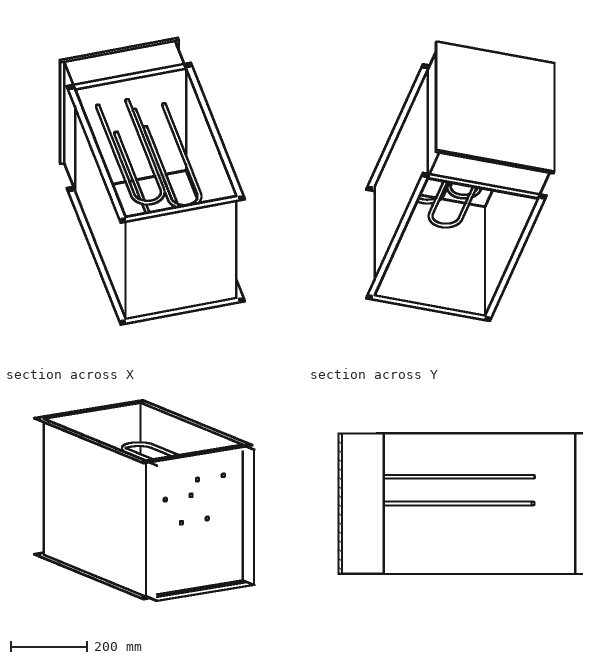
import cadquery as cq

duct_length = 500.0
duct_width = 300.0
total_height = 370.0
sheet = 1.0
flange_width = 19.0
flange_hole_diameter = 9.0
flange_hole_offset = 10.0

cover_face_distance = 120.0
cover_thickness = 10.0
cover_width = 322.0

rod_diameter = 10.0
bend_radius = 40.0
straight_length = 350.0
outer_element_y = 50.0
front_element_z = 110.0
middle_element_z = 0.0
rear_element_z = 70.0

half_length = duct_length / 2
half_width = duct_width / 2
body_height = total_height - 2 * sheet
flange_base_z = (-total_height / 2, total_height / 2 - sheet)
cover_face_x = -half_length - cover_face_distance
box_front_x = cover_face_x + cover_thickness
wall_outer_x = -half_length - sheet
box_depth = wall_outer_x - box_front_x
box_width = duct_width + 2 * sheet
flange_edge_x = -half_length - flange_width
seam_y = half_width + sheet / 2


def block(x_range, y_range, z_range):
    """Box spanning the given ranges."""
    lengths = [high - low for low, high in (x_range, y_range, z_range)]
    corner = (x_range[0], y_range[0], z_range[0])
    return cq.Workplane("XY").box(*lengths, centered=False).translate(corner)


def make_shell():
    """Sheet wrapped round three sides of the duct, with a flange at each end."""
    outer_y = half_width + sheet
    shell = block(
        (wall_outer_x, half_length + sheet),
        (-outer_y, outer_y),
        (-body_height / 2, body_height / 2),
    )
    flange_y = half_width + flange_width
    for base_z in flange_base_z:
        z_range = (base_z, base_z + sheet)
        flange = block((flange_edge_x, -flange_edge_x), (-flange_y, flange_y), z_range)
        strip_gap = block((flange_edge_x, -half_length), (-seam_y, seam_y), z_range)
        shell = shell.union(flange.cut(strip_gap))
    opening = block(
        (wall_outer_x, half_length),
        (-half_width, half_width),
        (-total_height / 2, total_height / 2),
    )
    hole_pitch = (duct_length + 2 * flange_hole_offset, duct_width + 2 * flange_hole_offset)
    holes = (
        cq.Workplane("XY", origin=(0, 0, -total_height / 2))
        .rect(*hole_pitch, forConstruction=True)
        .vertices()
        .circle(flange_hole_diameter / 2)
        .extrude(total_height)
    )
    return shell.cut(opening).cut(holes)


def make_end_wall():
    """Sheet closing the fourth side of the duct, bent out into a flange strip at each end."""
    wall = block(
        (wall_outer_x, -half_length),
        (-half_width, half_width),
        (-body_height / 2, body_height / 2),
    )
    for base_z in flange_base_z:
        strip = block((flange_edge_x, -half_length), (-seam_y, seam_y), (base_z, base_z + sheet))
        wall = wall.union(strip)
    return wall


def make_connection_box():
    """Rectangular sheet frame between the cover and the end wall."""
    return (
        cq.Workplane("YZ", origin=(box_front_x, 0, 0))
        .rect(box_width, body_height)
        .rect(box_width - 2 * sheet, body_height - 2 * sheet)
        .extrude(box_depth)
    )


def make_cover():
    """Flat cover closing the connection box."""
    return (
        cq.Workplane("YZ", origin=(cover_face_x, 0, 0))
        .rect(cover_width, body_height)
        .extrude(cover_thickness)
    )


def make_heating_element(center_y, z):
    """U-shaped rod standing on the end wall."""
    bend_x = -half_length + straight_length
    low_y = center_y - bend_radius
    high_y = center_y + bend_radius
    path = (
        cq.Workplane("XY", origin=(0, 0, z))
        .moveTo(-half_length, low_y)
        .lineTo(bend_x, low_y)
        .threePointArc((bend_x + bend_radius, center_y), (bend_x, high_y))
        .lineTo(-half_length, high_y)
    )
    profile = cq.Workplane("YZ", origin=(-half_length, low_y, z)).circle(rod_diameter / 2)
    return profile.sweep(path)


shell = make_shell()
end_wall = make_end_wall()
connection_box = make_connection_box()
cover = make_cover()
element_places = [
    (-outer_element_y, front_element_z),
    (0.0, middle_element_z),
    (outer_element_y, rear_element_z),
]
heating_elements = [make_heating_element(y, z).val() for y, z in element_places]

result = cq.Compound.makeCompound(
    [shell.val(), end_wall.val(), connection_box.val(), cover.val(), *heating_elements]
)